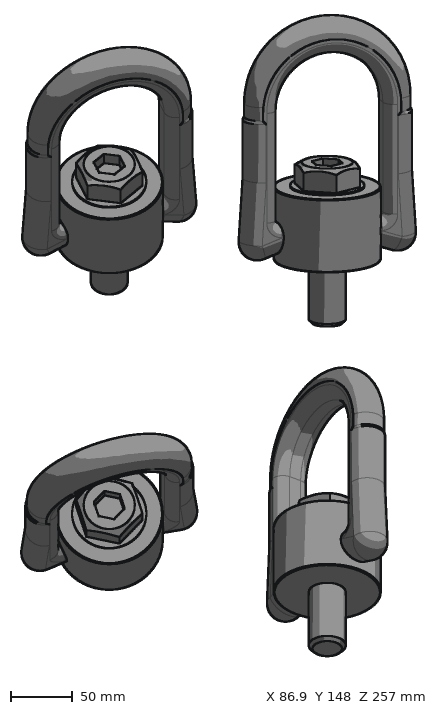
import cadquery as cq
import math


overall_width_y = 148.0
overall_height = 257

body_diameter = 86.9
body_height = 61.2
body_chamfer = 0.8
bushing_diameter = 60.1
bushing_height = 1.0
shank_diameter = 30.0
shank_length = 53.2
shank_chamfer = 3.0
head_across_flats = 47.5
head_height = 20.0
head_top = body_height + head_height
head_flat_diameter = 41.5
head_chamfer_angle = 30
socket_across_flats = 22.0
socket_depth = 10.3

bar_radius = 15.2
inner_edge_radius = 9.8
bail_top = overall_height - shank_length
arch_radius = 54.2
arch_center_z = bail_top - arch_radius - bar_radius
inner_half_width = 45.2
inner_arch_drop = 5.0
inner_arch_z = arch_center_z - inner_arch_drop
core_depth = 12.8
core_outer_radius = inner_half_width + core_depth

leg_y = 55.5
neck_length = 11.3
collar_height = 2.5
collar_top_z = arch_center_z - neck_length
collar_bottom_z = collar_top_z - collar_height
bend_z = 71.5
foot_y = overall_width_y / 2 - bar_radius
foot_z = 18.8

pin_y = 42.1
pin_z = 24.7
pin_end_y = 33.5
pin_side_flat = 0.3
pin_top_z = pin_z + pin_side_flat + inner_edge_radius
pin_corner_radius = inner_half_width - pin_y
pin_corner_z = pin_top_z + pin_corner_radius


def hexagon(across_flats, z, height):
    """Hexagonal prism with two corners on the X axis."""
    across_corners = across_flats / math.cos(math.pi / 6)
    return cq.Workplane("XY", origin=(0, 0, z)).polygon(6, across_corners).extrude(height)


def make_body():
    body = cq.Workplane("XY").circle(body_diameter / 2).extrude(body_height)
    body = body.faces("<Z or >Z").chamfer(body_chamfer)
    bushing = cq.Workplane("XY", origin=(0, 0, body_height)).circle(bushing_diameter / 2)
    bushing = bushing.extrude(bushing_height)
    return body.union(bushing)


def make_bolt():
    shank = cq.Workplane("XY").circle(shank_diameter / 2).extrude(-shank_length)
    shank = shank.faces("<Z").chamfer(shank_chamfer)

    head = hexagon(head_across_flats, body_height, head_height)
    cone_slope = math.tan(math.radians(head_chamfer_angle))
    flat_radius = head_flat_diameter / 2
    cone_base_radius = flat_radius + head_height / cone_slope
    cone = (
        cq.Workplane("XZ")
        .moveTo(0, body_height)
        .lineTo(cone_base_radius, body_height)
        .lineTo(flat_radius, head_top)
        .lineTo(0, head_top)
        .close()
        .revolve(360, (0, 0), (0, 1))
    )
    return shank.union(head.intersect(cone))


def make_inside():
    """Slab as thick as the bar that fills the bail up to where its round outer side begins."""
    return (
        cq.Workplane("YZ", origin=(-bar_radius, 0, 0))
        .moveTo(-pin_end_y, pin_z)
        .lineTo(-pin_y, pin_z)
        .lineTo(-foot_y, foot_z)
        .lineTo(-leg_y, bend_z)
        .lineTo(-leg_y, collar_bottom_z)
        .lineTo(-core_outer_radius, collar_top_z)
        .lineTo(-core_outer_radius, inner_arch_z)
        .threePointArc((0, inner_arch_z + core_outer_radius), (core_outer_radius, inner_arch_z))
        .lineTo(core_outer_radius, collar_top_z)
        .lineTo(leg_y, collar_bottom_z)
        .lineTo(leg_y, bend_z)
        .lineTo(foot_y, foot_z)
        .lineTo(pin_y, pin_z)
        .lineTo(pin_end_y, pin_z)
        .close()
        .extrude(2 * bar_radius)
    )


def make_opening():
    """Slab that fills the opening inside the flat inner face of the bail."""
    corner_offset = pin_corner_radius * (1 - math.sqrt(0.5))
    corner_mid = (inner_half_width - corner_offset, pin_top_z + corner_offset)
    return (
        cq.Workplane("YZ", origin=(-bar_radius, 0, 0))
        .moveTo(-pin_y, pin_top_z)
        .lineTo(pin_y, pin_top_z)
        .threePointArc(corner_mid, (inner_half_width, pin_corner_z))
        .lineTo(inner_half_width, inner_arch_z)
        .threePointArc((0, inner_arch_z + inner_half_width), (-inner_half_width, inner_arch_z))
        .lineTo(-inner_half_width, pin_corner_z)
        .threePointArc((-corner_mid[0], corner_mid[1]), (-pin_y, pin_top_z))
        .close()
        .extrude(2 * bar_radius)
    )


def make_core(inside):
    """Flat-sided inner part of the bail, running from pin to pin through the body."""
    core = inside.cut(make_opening())
    leg_middle_z = (pin_corner_z + inner_arch_z) / 2
    for side_x in (-bar_radius, bar_radius):
        inner_edge = cq.selectors.NearestToPointSelector((side_x, inner_half_width, leg_middle_z))
        core = core.edges(inner_edge).fillet(inner_edge_radius)
    return core


def make_arch():
    """Round bar bent into a half ring."""
    return (
        cq.Workplane("XY", origin=(0, 0, arch_center_z))
        .center(0, arch_radius)
        .circle(bar_radius)
        .revolve(180, (0, -arch_radius), (1, -arch_radius))
    )


def round_bar(start, end):
    """Round bar between two (y, z) centre points."""
    start_point = cq.Vector(0, *start)
    axis = cq.Vector(0, *end) - start_point
    return cq.Workplane(obj=cq.Solid.makeCylinder(bar_radius, axis.Length, start_point, axis))


def ball(center):
    """Ball that rounds the joint or end of a bar at a (y, z) point."""
    return cq.Workplane("XY", origin=(0, *center)).sphere(bar_radius)


def make_leg():
    """Round outer part of the +Y leg, with its collar, foot and pin."""
    collar = (
        cq.Workplane("XY", origin=(0, leg_y, collar_bottom_z))
        .circle(bar_radius)
        .workplane(offset=collar_height)
        .center(0, arch_radius - leg_y)
        .circle(bar_radius)
        .loft()
    )
    neck = round_bar((arch_radius, collar_top_z), (arch_radius, arch_center_z))
    bend = (leg_y, bend_z)
    foot = (foot_y, foot_z)
    pin = (pin_y, pin_z)
    leg = neck.union(collar)
    leg = leg.union(round_bar((leg_y, collar_bottom_z), bend)).union(ball(bend))
    leg = leg.union(round_bar(bend, foot)).union(ball(foot))
    leg = leg.union(round_bar(foot, pin)).union(ball(pin))
    leg = leg.union(round_bar(pin, (pin_end_y, pin_z)))
    return leg


def make_bail():
    inside = make_inside()
    leg = make_leg()
    round_side = make_arch().union(leg).union(leg.mirror("XZ")).cut(inside)
    return make_core(inside).union(round_side)


socket = hexagon(socket_across_flats, head_top - socket_depth, socket_depth)
result = make_body().union(make_bolt()).union(make_bail()).cut(socket)